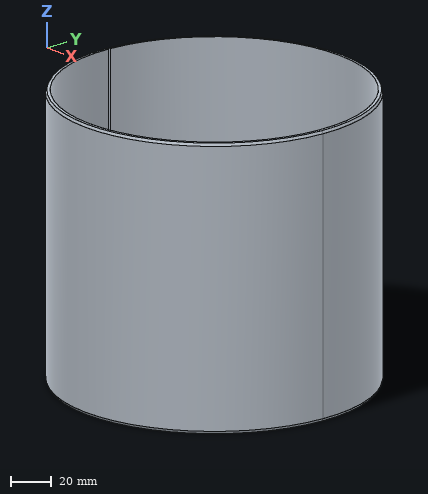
import cadquery as cq

outer_diameter = 165.0
height = 150.0
wall = 2.3
bevel_height = 1.5
bevel_depth = 0.7
slit_width = 1.3

outer_radius = outer_diameter / 2
inner_radius = outer_radius - wall
rim_radius = outer_radius - bevel_depth

wall_section = (
    cq.Workplane("XZ")
    .moveTo(inner_radius, 0)
    .lineTo(rim_radius, 0)
    .lineTo(outer_radius, bevel_height)
    .lineTo(outer_radius, height - bevel_height)
    .lineTo(rim_radius, height)
    .lineTo(inner_radius, height)
    .close()
)
full_turn = 360
tube = wall_section.revolve(full_turn, (0, 0, 0), (0, 1, 0))

slit = (
    cq.Workplane("XY")
    .box(outer_radius, slit_width, height, centered=False)
    .translate((-outer_radius, 0, 0))
)

result = tube.cut(slit)